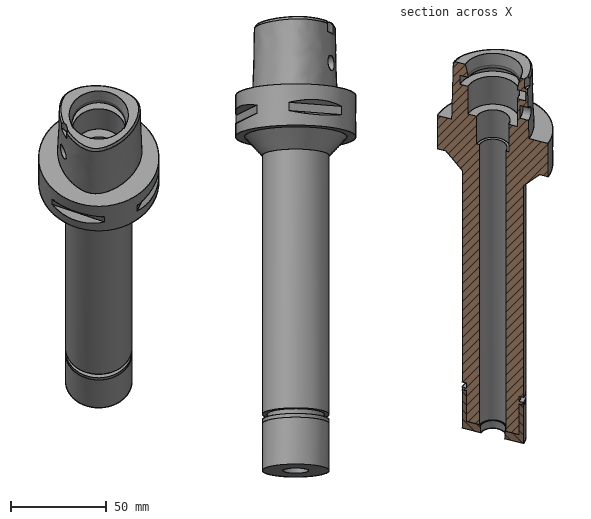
import cadquery as cq
import math

shank_height = 38.0
shank_mean_radius = 22.1
lobe_amplitude = 1.4
taper_per_side = 1 / 40
rim_chamfer_height = 1.5
rim_chamfer_inset = 0.9

mouth_radius = 15.5
lip_radius = 14.0
lip_depth = 6.6
undercut_radius = 18.6
undercut_start = 8.4
undercut_end = 13.9
clamp_bore_depth = 32.0
drive_bore_radius = 9.0
drive_bore_depth = 50.0
through_bore_radius = 7.5

keyway_radius = 5.0
keyway_depth = 6.0
keyway_apex_y = -18.2
blind_hole_diameter = 8.0
blind_hole_from_top = 22.2
blind_hole_floor_y = -15.5

flange_radius = 31.5
flange_height = 22.0
groove_floor_distance = 27.8
groove_floor_width = 4.4
groove_mouth_width = 8.0
groove_center_z = -12.0
groove_count = 4

cone_top_radius = 26.8
cone_height = 10.0
stem_radius = 17.5
neck_radius = 15.0
relief_height = 3.0
collar_height = 2.0

nut_height = 25.0
nut_front_wall = 5.0
nut_opening_radius = 6.8

overall_length = 238.0
bottom_z = shank_height - overall_length
nut_top_z = bottom_z + nut_height
neck_end_z = bottom_z + nut_front_wall
collar_top_z = nut_top_z + collar_height
relief_top_z = collar_top_z + relief_height


def lobed_outline(z, mean_radius):
    """Closed three-lobed curve of constant width, with one lobe toward +Y."""

    def point(t):
        support_slope = 3 * lobe_amplitude * math.cos(3 * t)
        support = mean_radius - lobe_amplitude * math.sin(3 * t)
        x = support * math.cos(t) + support_slope * math.sin(t)
        y = support * math.sin(t) - support_slope * math.cos(t)
        return (x, y, z)

    curve = cq.Workplane("XY").parametricCurve(lambda u: point(2 * math.pi * u), N=96)
    return curve.val()


def shank():
    chamfer_z = shank_height - rim_chamfer_height
    chamfer_radius = shank_mean_radius - taper_per_side * chamfer_z
    rim_radius = chamfer_radius - rim_chamfer_inset
    base = lobed_outline(0, shank_mean_radius)
    chamfer_start = lobed_outline(chamfer_z, chamfer_radius)
    rim = lobed_outline(shank_height, rim_radius)
    taper = cq.Solid.makeLoft([base, chamfer_start], True)
    chamfer = cq.Solid.makeLoft([chamfer_start, rim], True)
    return cq.Workplane(taper).union(cq.Workplane(chamfer))


def turned(profile):
    """Solid of revolution about Z from (radius, z) points."""
    return cq.Workplane("XZ").polyline(profile).close().revolve(360, (0, 0), (0, 1))


def flange_and_stem():
    cone_end_z = -flange_height - cone_height
    return turned([
        (0, 0),
        (flange_radius, 0),
        (flange_radius, -flange_height),
        (cone_top_radius, -flange_height),
        (stem_radius, cone_end_z),
        (stem_radius, relief_top_z),
        (neck_radius, relief_top_z),
        (neck_radius, collar_top_z),
        (stem_radius, collar_top_z),
        (stem_radius, nut_top_z),
        (neck_radius, nut_top_z),
        (neck_radius, neck_end_z),
        (0, neck_end_z),
    ])


def stepped_bore():
    top = shank_height
    return turned([
        (0, top),
        (mouth_radius, top),
        (lip_radius, top - lip_depth),
        (lip_radius, top - undercut_start),
        (undercut_radius, top - undercut_start),
        (undercut_radius, top - undercut_end),
        (lip_radius, top - undercut_end),
        (lip_radius, top - clamp_bore_depth),
        (drive_bore_radius, top - clamp_bore_depth),
        (drive_bore_radius, top - drive_bore_depth),
        (through_bore_radius, top - drive_bore_depth),
        (through_bore_radius, neck_end_z),
        (0, neck_end_z),
    ])


def keyway():
    """Upright round-bottomed notch in the shank rim."""
    return (
        cq.Workplane("XY", origin=(0, keyway_apex_y - keyway_radius, shank_height))
        .circle(keyway_radius)
        .extrude(-keyway_depth)
    )


def blind_hole():
    hole_z = shank_height - blind_hole_from_top
    hole_length = flange_radius + blind_hole_floor_y
    return (
        cq.Workplane("XZ", origin=(0, blind_hole_floor_y, hole_z))
        .circle(blind_hole_diameter / 2)
        .extrude(hole_length)
    )


def gripper_groove():
    """Flat-floored trapezoidal groove across the +X side of the flange."""
    half_floor = groove_floor_width / 2
    half_mouth = groove_mouth_width / 2
    profile = [
        (groove_floor_distance, groove_center_z - half_floor),
        (flange_radius, groove_center_z - half_mouth),
        (flange_radius, groove_center_z + half_mouth),
        (groove_floor_distance, groove_center_z + half_floor),
    ]
    return cq.Workplane("XZ").polyline(profile).close().extrude(flange_radius, both=True)


def holder_body():
    body = shank().union(flange_and_stem())
    body = body.cut(stepped_bore()).cut(keyway()).cut(blind_hole())
    for i in range(groove_count):
        angle = 360 / groove_count * (i + 0.5)
        body = body.cut(gripper_groove().rotate((0, 0, 0), (0, 0, 1), angle))
    return body


def clamping_nut():
    """Cap that fits over the neck and closes against the collar."""
    return turned([
        (nut_opening_radius, bottom_z),
        (stem_radius, bottom_z),
        (stem_radius, nut_top_z),
        (neck_radius, nut_top_z),
        (neck_radius, neck_end_z),
        (nut_opening_radius, neck_end_z),
    ])


holder = holder_body()
nut = clamping_nut()

result = cq.Compound.makeCompound([holder.val(), nut.val()])